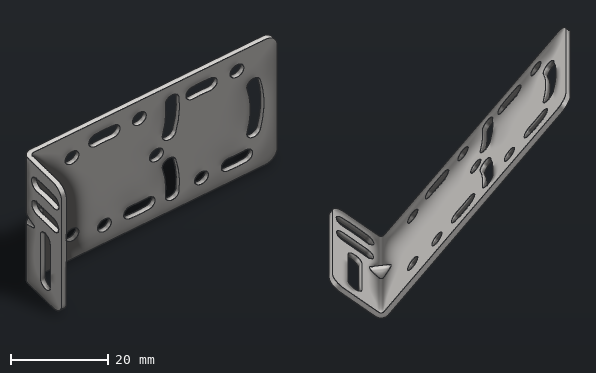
import cadquery as cq
import math

length = 63.5
flange_width = 14.0
height = 35.55
thickness = 1.2
bend_radius = 2.0
corner_radius = 3.05

hole_diameter = 3.4
swing_radius = 25.4
short_swing = 5.0
long_swing = 15.0
row_z = swing_radius / 2
upper_pivots_y = (28.7, 53.35)
lower_pivots_y = (19.9, 44.4)
centre_pivot_y = 33.0
end_pivot_y = 11.7
end_pivot_z = 10.9

flange_slot_x = 8.1
flange_slot_width = 3.55
flange_slot_length = 9.6
straight_slot_z = 6.0
flange_swing = 7.0
upright_slot_length = 15.7
upright_slot_z = -6.65

groove_reach = 4.25
ridge_reach = 5.6
groove_tip_radius = 0.48
rib_half_angle = math.radians(28)


def point_at(pivot, radius, degrees):
    angle = math.radians(degrees)
    return (pivot[0] + radius * math.cos(angle), pivot[1] + radius * math.sin(angle))


def arc_slot(plane, pivot, start, end, width=hole_diameter):
    """Round-ended slot whose centre line is an arc about the pivot."""
    outer = swing_radius + width / 2
    inner = swing_radius - width / 2
    middle = (start + end) / 2
    cap = math.degrees(width / 2 / swing_radius)
    return (
        cq.Workplane(plane)
        .moveTo(*point_at(pivot, inner, start))
        .threePointArc(point_at(pivot, inner, middle), point_at(pivot, inner, end))
        .threePointArc(point_at(pivot, swing_radius, end + cap), point_at(pivot, outer, end))
        .threePointArc(point_at(pivot, outer, middle), point_at(pivot, outer, start))
        .threePointArc(point_at(pivot, swing_radius, start - cap), point_at(pivot, inner, start))
        .close()
        .extrude(thickness, both=True)
    )


def bent_sheet():
    inner_radius = bend_radius - thickness
    sheet = (
        cq.Workplane("XY")
        .moveTo(0, length)
        .lineTo(0, bend_radius)
        .radiusArc((bend_radius, 0), -bend_radius)
        .lineTo(flange_width, 0)
        .lineTo(flange_width, thickness)
        .lineTo(bend_radius, thickness)
        .radiusArc((thickness, bend_radius), inner_radius)
        .lineTo(thickness, length)
        .close()
        .extrude(height / 2, both=True)
    )
    sheet = sheet.faces(">Y").edges("|X").fillet(corner_radius)
    return sheet.faces(">X").edges("|Y").fillet(corner_radius)


def rib_wedge(reach, tip_radius):
    """Round-tipped wedge running across the bend; its tip lies on x + y = reach."""
    tip = reach / math.sqrt(2)
    tangent = tip - tip_radius * (1 - math.sin(rib_half_angle))
    tangent_z = tip_radius * math.cos(rib_half_angle)
    base_z = tangent_z + tangent * math.tan(rib_half_angle)
    across_bend = cq.Plane(origin=(0, 0, 0), xDir=(1, 1, 0), normal=(1, -1, 0))
    return (
        cq.Workplane(across_bend)
        .moveTo(0, -base_z)
        .lineTo(tangent, -tangent_z)
        .threePointArc((tip, 0), (tangent, tangent_z))
        .lineTo(0, base_z)
        .close()
        .extrude(flange_width, both=True)
    )


def add_rib(sheet):
    metal = (ridge_reach - groove_reach) / math.sqrt(2)
    root = thickness / 2
    inside_corner = cq.Workplane("XY").box(
        flange_width, flange_width, height, centered=(False, False, True)
    ).translate((root, root, 0))
    ridge = rib_wedge(ridge_reach, groove_tip_radius + metal).intersect(inside_corner)
    return sheet.union(ridge).cut(rib_wedge(groove_reach, groove_tip_radius))


def cut_plate(body):
    pivots = [(y, row_z) for y in upper_pivots_y]
    pivots += [(y, -row_z) for y in lower_pivots_y]
    end_pivots = [(end_pivot_y, side * end_pivot_z) for side in (1, -1)]
    centre_pivot = (centre_pivot_y, 0)
    holes = (
        cq.Workplane("YZ")
        .pushPoints(pivots + end_pivots + [centre_pivot])
        .circle(hole_diameter / 2)
        .extrude(thickness, both=True)
    )
    body = body.cut(holes)
    for pivot in pivots:
        facing = -90 if pivot[1] > 0 else 90
        body = body.cut(arc_slot("YZ", pivot, facing - short_swing, facing + short_swing))
    body = body.cut(arc_slot("YZ", end_pivots[0], -long_swing, short_swing))
    body = body.cut(arc_slot("YZ", end_pivots[1], -short_swing, long_swing))
    return body.cut(arc_slot("YZ", centre_pivot, -long_swing, long_swing))


def cut_flange(body):
    level_slot = (
        cq.Workplane("XZ")
        .center(flange_slot_x, straight_slot_z)
        .slot2D(flange_slot_length, flange_slot_width)
        .extrude(thickness, both=True)
    )
    upright_slot = (
        cq.Workplane("XZ")
        .center(flange_slot_x, upright_slot_z)
        .slot2D(upright_slot_length, flange_slot_width, 90)
        .extrude(thickness, both=True)
    )
    curved_slot = arc_slot(
        "XZ", (flange_slot_x, -row_z), 90 - flange_swing, 90 + flange_swing, flange_slot_width
    )
    return body.cut(level_slot).cut(upright_slot).cut(curved_slot)


result = cut_flange(cut_plate(add_rib(bent_sheet())))